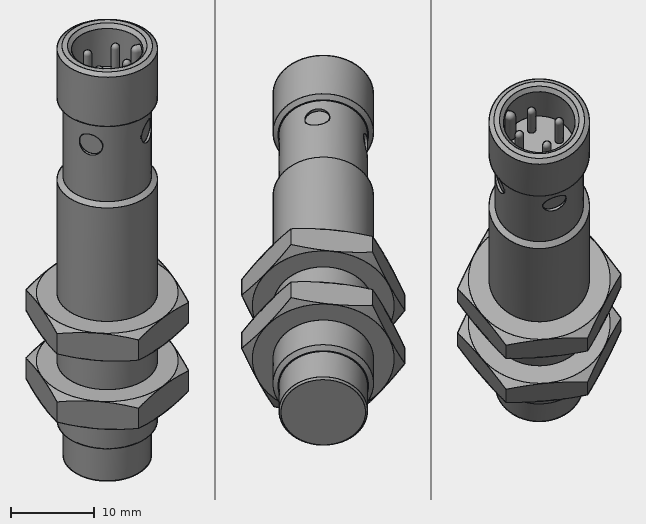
import cadquery as cq
import math

total_height = 60
barrel_radius = 12 / 2
neck_radius = 10.55 / 2
tip_height = 5.0
barrel_top = 41.0
head_bottom = 52.0
edge_inset = 0.6
edge_drop = 0.35
shoulder_drop = 0.4
tip_chamfer = 0.25

socket_radius = 8.5 / 2
socket_depth = 6.0
mouth_chamfer = 0.5

pin_radius = 1.0 / 2
pin_offset = 1.8
pin_length = 4.6
key_radius = 0.6
key_center = 3.7
key_length = 5.0
key_wall_overlap = 0.3

window_diameter = 3
window_height = 49.0
window_floor_radius = 4.9

nut_across_flats = 17.0
nut_thickness = 4.0
nut_bottoms = (10.0, 20.0)
nut_face_radius = 8.45
nut_corner_drop = 0.55
nut_corner_radius = nut_across_flats / math.sqrt(3)


def revolve_profile(points):
    return cq.Workplane("XZ").polyline(points).close().revolve(360, (0, 0, 0), (0, 1, 0))


def make_housing():
    shoulder_radius = barrel_radius - edge_inset
    return revolve_profile([
        (0, 0),
        (neck_radius - tip_chamfer, 0),
        (neck_radius, tip_chamfer),
        (neck_radius, tip_height),
        (shoulder_radius, tip_height),
        (barrel_radius, tip_height + shoulder_drop),
        (barrel_radius, barrel_top - shoulder_drop),
        (neck_radius, barrel_top),
        (neck_radius, head_bottom),
        (shoulder_radius, head_bottom),
        (barrel_radius, head_bottom + shoulder_drop),
        (barrel_radius, total_height - edge_drop),
        (shoulder_radius, total_height),
        (0, total_height),
    ])


def make_socket():
    return revolve_profile([
        (0, total_height - socket_depth),
        (socket_radius, total_height - socket_depth),
        (socket_radius, total_height - mouth_chamfer),
        (socket_radius + mouth_chamfer, total_height),
        (0, total_height),
    ])


def make_pin(x, y, radius, length):
    """Round pin standing on the socket floor, with a hemispherical top."""
    shaft_length = length - radius
    shaft = cq.Workplane("XY").circle(radius).extrude(shaft_length)
    dome = cq.Workplane("XY").sphere(radius).translate((0, 0, shaft_length))
    return shaft.union(dome).translate((x, y, total_height - socket_depth))


def make_key():
    """Round-nosed rib running back into the socket wall, with a half-round top."""
    nose = make_pin(0, key_center, key_radius, key_length)
    floor = total_height - socket_depth
    crown_center = floor + key_length - key_radius
    run = socket_radius + key_wall_overlap - key_center
    web = cq.Workplane("XY").box(
        2 * key_radius, run, key_length - key_radius, centered=(True, False, False)
    ).translate((0, key_center, floor))
    crown = (
        cq.Workplane("XZ", origin=(0, key_center, crown_center))
        .circle(key_radius)
        .extrude(-run)
    )
    return nose.union(web).union(crown)


def make_window(angle):
    """Cutter for one window, reaching inward to its flat floor."""
    cutter = (
        cq.Workplane("YZ", origin=(window_floor_radius, 0, window_height))
        .circle(window_diameter / 2)
        .extrude(barrel_radius - window_floor_radius)
    )
    return cutter.rotate((0, 0, 0), (0, 0, 1), angle)


def make_nut(bottom):
    """Hexagon with corners pointing along X, both faces coned off at the corners."""
    hexagon = cq.Workplane("XY").polygon(6, 2 * nut_corner_radius).extrude(nut_thickness)
    cone_envelope = revolve_profile([
        (0, 0),
        (nut_face_radius, 0),
        (nut_corner_radius, nut_corner_drop),
        (nut_corner_radius, nut_thickness - nut_corner_drop),
        (nut_face_radius, nut_thickness),
        (0, nut_thickness),
    ])
    return hexagon.intersect(cone_envelope).translate((0, 0, bottom))


result = make_housing().cut(make_socket())
for x in (-pin_offset, pin_offset):
    for y in (-pin_offset, pin_offset):
        result = result.union(make_pin(x, y, pin_radius, pin_length))
result = result.union(make_key())
for angle in (45, 135, 225, 315):
    result = result.cut(make_window(angle))
for bottom in nut_bottoms:
    result = result.union(make_nut(bottom))